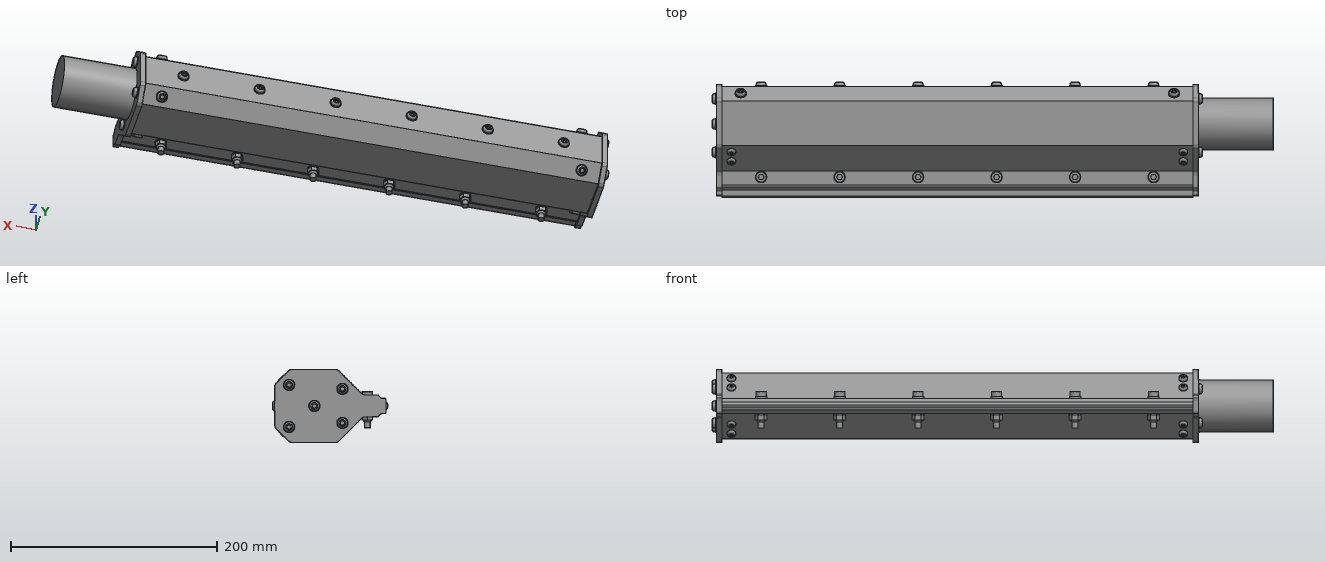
import cadquery as cq
import math


body_length = 457.4
body_half_height = 32.0
body_back_y = 36.6
rear_bevel = 14.5
flange_half_height = 7.4
front_bevel = body_half_height - flange_half_height
flange_root_y = -45.7
flange_edge_y = -59.2
ledge_half_height = 7.2
lip_half_height = 3.9
lip_root_y = -64.3
lip_edge_y = -70.1
ledge_edge_y = lip_root_y + ledge_half_height - lip_half_height
tip_half_height = 0.8
tip_y = -71.5

plate_thickness = 5.3
plate_back_overhang = 2.0
plate_half_height = 35.56
plate_rear_bevel = 15.0
plate_neck_half_height = 10.7
plate_front_bevel = plate_half_height - plate_neck_half_height
plate_root_y = -47.3
plate_neck_edge_y = -61.8
plate_end_half_height = 7.5
plate_slope_end_y = plate_neck_edge_y - (plate_neck_half_height - plate_end_half_height)
plate_end_y = -69.7
plate_back_y = body_back_y + plate_back_overhang
plate_corner_radius = 5.0
plate_end_radius = 1.5
right_plate_x = plate_thickness + body_length
right_face_x = right_plate_x + plate_thickness

tube_diameter = 50.8
overall_length = 544.72

overall_width = 112.09
button_height = overall_width + tip_y - body_back_y
button_flange_diameter = 11.0
button_flange_thickness = 0.8
button_diameter = 10.0
button_top_diameter = 6.5
button_socket = 4.0
button_socket_depth = 2.0
small_button_diameter = 8.5
small_button_rim = 0.5
small_button_height = 2.75
small_button_top_diameter = 5.0
small_button_socket = 3.0
small_button_socket_depth = 1.5
washer_diameter = 11.0
washer_thickness = 1.6
cap_diameter = 10.0
cap_height = 5.0
cap_socket = 5.0
cap_socket_depth = 3.0

bolt_diameter = 6.0
bolt_end_z = -21.2
nut_across_flats = 10.0
nut_height = 4.5
nut_collar_diameter = 9.0
nut_collar_height = 2.0

mid_x = plate_thickness + body_length / 2
plate_rear_screw_y = 24.5
plate_rear_screw_z = 20.4
plate_front_screw_y = -27.3
plate_front_screw_z = 16.5
flange_bolt_count = 6
flange_bolt_pitch = 76.2
flange_bolt_y = -51.5
front_bevel_screw_span = 438.6
front_bevel_screw_pitch = 12.7
front_bevel_screw_z = 21.9
rear_bevel_screw_span = 420.6

tube_end_x = overall_length - button_height

DIAGONAL = math.sqrt(0.5)
HEX_CORNER_RATIO = 1 / math.cos(math.pi / 6)


def mirrored_prism(start_x, length, upper_half):
    """Extrude along +X an outline given by its (y, z) points above Z=0."""
    lower_half = [(y, -z) for y, z in reversed(upper_half)]
    return (
        cq.Workplane("YZ", origin=(start_x, 0, 0))
        .polyline(upper_half + lower_half)
        .close()
        .extrude(length)
    )


def make_body():
    return mirrored_prism(plate_thickness, body_length, [
        (body_back_y, body_half_height - rear_bevel),
        (body_back_y - rear_bevel, body_half_height),
        (flange_root_y + front_bevel, body_half_height),
        (flange_root_y, flange_half_height),
        (flange_edge_y, flange_half_height),
        (flange_edge_y, ledge_half_height),
        (ledge_edge_y, ledge_half_height),
        (lip_root_y, lip_half_height),
        (lip_edge_y, lip_half_height),
        (tip_y, tip_half_height),
    ])


def make_end_plate(start_x):
    plate = mirrored_prism(start_x, plate_thickness, [
        (plate_back_y, plate_half_height - plate_rear_bevel),
        (plate_back_y - plate_rear_bevel, plate_half_height),
        (plate_root_y + plate_front_bevel, plate_half_height),
        (plate_root_y, plate_neck_half_height),
        (plate_neck_edge_y, plate_neck_half_height),
        (plate_slope_end_y, plate_end_half_height),
        (plate_end_y, plate_end_half_height),
    ])
    mid_neck_y = (plate_root_y + plate_neck_edge_y) / 2
    corners = plate.edges("|X")
    plate = corners.filter(lambda edge: edge.Center().y > mid_neck_y).fillet(plate_corner_radius)
    corners = plate.edges("|X")
    return corners.filter(lambda edge: edge.Center().y < mid_neck_y).fillet(plate_end_radius)


def make_tube():
    return (
        cq.Workplane("YZ", origin=(right_face_x, 0, 0))
        .circle(tube_diameter / 2)
        .extrude(tube_end_x - right_face_x)
    )


def hexagon(workplane, across_flats, height):
    return workplane.polygon(6, across_flats * HEX_CORNER_RATIO).extrude(height)


def aimed(solid, position, direction):
    """Move a solid built along +Z from the origin so that it points along a direction."""
    frame = cq.Plane(origin=position, normal=direction)
    return solid.val().moved(cq.Location(frame))


def domed_head(base_diameter, base_thickness, diameter, top_diameter, height):
    """Disc with a dome that rises from `diameter` to a flat top of `top_diameter`."""
    radius = diameter / 2
    top_radius = top_diameter / 2
    bulge_radius = top_radius + (radius - top_radius) * DIAGONAL
    bulge_height = base_thickness + (height - base_thickness) * DIAGONAL
    base = cq.Workplane("XY").circle(base_diameter / 2).extrude(base_thickness)
    dome = (
        cq.Workplane("XZ")
        .lineTo(radius, 0)
        .lineTo(radius, base_thickness)
        .threePointArc((bulge_radius, bulge_height), (top_radius, height))
        .lineTo(0, height)
        .close()
        .revolve(360, (0, 0, 0), (0, 1, 0))
    )
    return base.union(dome)


def with_socket(head, height, across_flats, depth):
    return head.cut(hexagon(cq.Workplane("XY").workplane(offset=height - depth), across_flats, depth))


def make_button_screw():
    head = domed_head(button_flange_diameter, button_flange_thickness, button_diameter,
                      button_top_diameter, button_height)
    return with_socket(head, button_height, button_socket, button_socket_depth)


def make_small_button_screw():
    head = domed_head(small_button_diameter, small_button_rim, small_button_diameter,
                      small_button_top_diameter, small_button_height)
    return with_socket(head, small_button_height, small_button_socket, small_button_socket_depth)


def make_cap_screw():
    washer = cq.Workplane("XY").circle(washer_diameter / 2).extrude(washer_thickness)
    height = washer_thickness + cap_height
    head = cq.Workplane("XY").circle(cap_diameter / 2).extrude(height)
    return with_socket(washer.union(head), height, cap_socket, cap_socket_depth)


def make_nut():
    """Washer, hexagon nut with tapered collar, and protruding bolt end."""
    nut_top = washer_thickness + nut_height
    nut = cq.Workplane("XY").circle(washer_diameter / 2).extrude(washer_thickness)
    nut = nut.union(hexagon(cq.Workplane("XY"), nut_across_flats, nut_top))
    collar = (
        cq.Workplane("XY", origin=(0, 0, nut_top))
        .circle(nut_collar_diameter / 2)
        .workplane(offset=nut_collar_height)
        .circle(bolt_diameter / 2)
        .loft()
    )
    bolt_end = cq.Workplane("XY").circle(bolt_diameter / 2).extrude(-bolt_end_z - flange_half_height)
    return nut.union(collar).union(bolt_end)


def end_plate_screws():
    screw = make_button_screw()
    screws = [aimed(screw, (0, 0, 0), (-1, 0, 0))]
    for face_x, outward in ((0, -1), (right_face_x, 1)):
        for side in (-1, 1):
            rear = (face_x, plate_rear_screw_y, side * plate_rear_screw_z)
            front = (face_x, plate_front_screw_y, side * plate_front_screw_z)
            screws += [aimed(screw, place, (outward, 0, 0)) for place in (rear, front)]
    return screws


def flange_and_back_screws():
    cap_screw = make_cap_screw()
    nut = make_nut()
    back_screw = make_button_screw()
    first_x = mid_x - flange_bolt_pitch * (flange_bolt_count - 1) / 2
    screws = []
    for index in range(flange_bolt_count):
        x = first_x + index * flange_bolt_pitch
        screws.append(aimed(cap_screw, (x, flange_bolt_y, flange_half_height), (0, 0, 1)))
        screws.append(aimed(nut, (x, flange_bolt_y, -flange_half_height), (0, 0, -1)))
        screws.append(aimed(back_screw, (x, body_back_y, 0), (0, 1, 0)))
    return screws


def bevel_screws():
    small_screw = make_small_button_screw()
    rear_screw = make_button_screw()
    half_pitch = front_bevel_screw_pitch * DIAGONAL / 2
    rear_y = body_back_y - rear_bevel / 2
    rear_z = body_half_height - rear_bevel / 2
    screws = []
    for end in (-1, 1):
        front_x = mid_x + end * front_bevel_screw_span / 2
        rear_x = mid_x + end * rear_bevel_screw_span / 2
        for side in (-1, 1):
            screws.append(aimed(rear_screw, (rear_x, rear_y, side * rear_z), (0, 1, side)))
            for z in (front_bevel_screw_z - half_pitch, front_bevel_screw_z + half_pitch):
                y = flange_root_y + z - flange_half_height
                screws.append(aimed(small_screw, (front_x, y, side * z), (0, -1, side)))
    return screws


housing = make_body()
housing = housing.union(make_end_plate(0)).union(make_end_plate(right_plate_x)).union(make_tube())
fasteners = end_plate_screws() + flange_and_back_screws() + bevel_screws()
result = housing.union(cq.Workplane(cq.Compound.makeCompound(fasteners)))